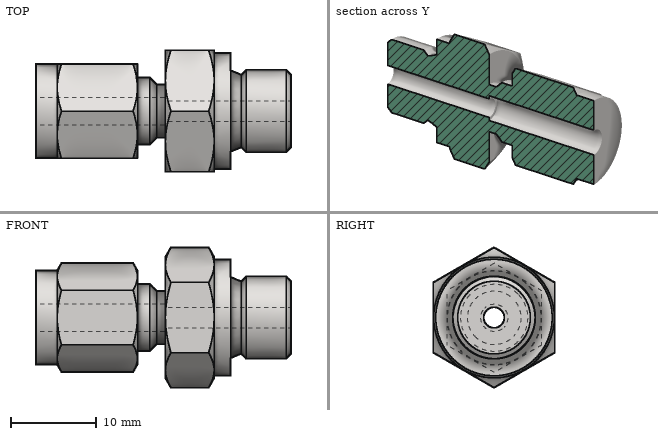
import cadquery as cq
import math

TOTAL_LENGTH = 30.0

COLLAR_DIAMETER = 11.1
COLLAR_END = 2.48
NUT_FLATS = 11.11
NUT_END = 11.95

SHOULDER_DIAMETER = 7.9
SHOULDER_END = 13.4
NECK_DIAMETER = 6.3
NECK_START = SHOULDER_END + (SHOULDER_DIAMETER - NECK_DIAMETER) / 2
BODY_HEX_START = 15.2
BODY_HEX_FLATS = 14.3
BODY_HEX_END = 20.98

FLANGE_DIAMETER = 13.7
FLANGE_END = 22.88
RELIEF_START_DIAMETER = 9.6
RELIEF_DIAMETER = 8.55
RELIEF_END = 24.15
THREAD_DIAMETER = 9.73
THREAD_CHAMFER = (THREAD_DIAMETER - RELIEF_DIAMETER) / 2

HEX_CHAMFER_ANGLE = 30.0
HEX_CHAMFER_INSET = 0.05

TUBE_DIAMETER = 3.2
TUBE_DEPTH = BODY_HEX_START
BORE_DIAMETER = 2.4


def revolve_about_x(points):
    """Solid of revolution about X from a closed (x, radius) outline."""
    return cq.Workplane("XY").polyline(points).close().revolve(360, (0, 0, 0), (1, 0, 0))


def cylinder(diameter, start, end):
    """Round section along X."""
    return cq.Workplane("YZ", origin=(start, 0, 0)).circle(diameter / 2).extrude(end - start)


def chamfered_hexagon(flats, start, end):
    """Hexagon along X with corners up and down, and conical chamfers at both ends."""
    corner_radius = flats / math.sqrt(3)
    face_radius = flats / 2 - HEX_CHAMFER_INSET
    chamfer_length = (corner_radius - face_radius) * math.tan(math.radians(HEX_CHAMFER_ANGLE))
    prism = (
        cq.Workplane("YZ", origin=(start, 0, 0))
        .polygon(6, 2 * corner_radius)
        .extrude(end - start)
        .rotate((0, 0, 0), (1, 0, 0), 90)
    )
    envelope = revolve_about_x([
        (start, 0),
        (start, face_radius),
        (start + chamfer_length, corner_radius),
        (end - chamfer_length, corner_radius),
        (end, face_radius),
        (end, 0),
    ])
    return prism.intersect(envelope)


def connecting_body():
    """Shoulder and neck joining the nut to the large hexagon."""
    return revolve_about_x([
        (NUT_END, 0),
        (NUT_END, SHOULDER_DIAMETER / 2),
        (SHOULDER_END, SHOULDER_DIAMETER / 2),
        (NECK_START, NECK_DIAMETER / 2),
        (BODY_HEX_START, NECK_DIAMETER / 2),
        (BODY_HEX_START, 0),
    ])


def threaded_end():
    """Flange, tapered thread relief and chamfered thread cylinder."""
    return revolve_about_x([
        (BODY_HEX_END, 0),
        (BODY_HEX_END, FLANGE_DIAMETER / 2),
        (FLANGE_END, FLANGE_DIAMETER / 2),
        (FLANGE_END, RELIEF_START_DIAMETER / 2),
        (RELIEF_END, RELIEF_DIAMETER / 2),
        (RELIEF_END + THREAD_CHAMFER, THREAD_DIAMETER / 2),
        (TOTAL_LENGTH - THREAD_CHAMFER, THREAD_DIAMETER / 2),
        (TOTAL_LENGTH, RELIEF_DIAMETER / 2),
        (TOTAL_LENGTH, 0),
    ])


fitting = (
    cylinder(COLLAR_DIAMETER, 0, COLLAR_END)
    .union(chamfered_hexagon(NUT_FLATS, COLLAR_END, NUT_END))
    .union(connecting_body())
    .union(chamfered_hexagon(BODY_HEX_FLATS, BODY_HEX_START, BODY_HEX_END))
    .union(threaded_end())
)

tube_socket = cylinder(TUBE_DIAMETER, 0, TUBE_DEPTH)
through_bore = cylinder(BORE_DIAMETER, 0, TOTAL_LENGTH)
result = fitting.cut(tube_socket).cut(through_bore)